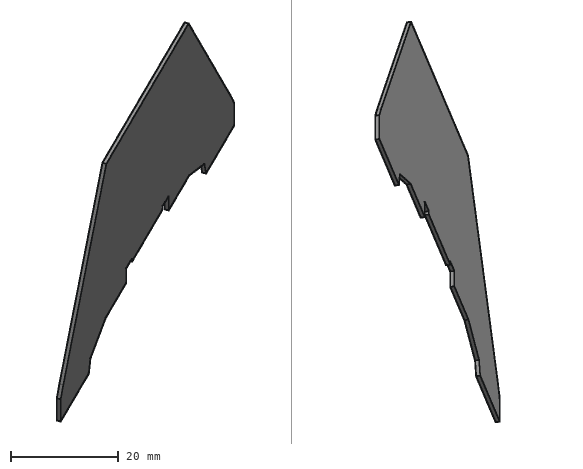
import cadquery as cq

thickness = 0.8
length = 87.0
height = 45.5

top_half_length = 20.6
end_height = 5.65
side_bend_half_length = 42.2
side_bend_height = 8.2

foot_inner_half_length = 29.3
foot_step_half_length = 28.5
foot_step_height = 3.1
recess_half_length = 20.9
recess_height = 6.8

notch_half_length = 10.6
notch_top_height = 10.4
tab_half_length = 7.7
tab_drop = 0.8
tab_bottom_height = notch_top_height - tab_drop

half_outline = [
    (top_half_length, height),
    (side_bend_half_length, side_bend_height),
    (length / 2, end_height),
    (length / 2, 0),
    (foot_inner_half_length, 0),
    (foot_step_half_length, foot_step_height),
    (recess_half_length, recess_height),
    (notch_half_length, recess_height),
    (notch_half_length, notch_top_height),
    (tab_half_length, notch_top_height),
    (tab_half_length, tab_bottom_height),
]

mirrored_outline = [(-y, z) for y, z in reversed(half_outline)]

result = (
    cq.Workplane("YZ")
    .polyline(half_outline + mirrored_outline)
    .close()
    .extrude(thickness / 2, both=True)
)